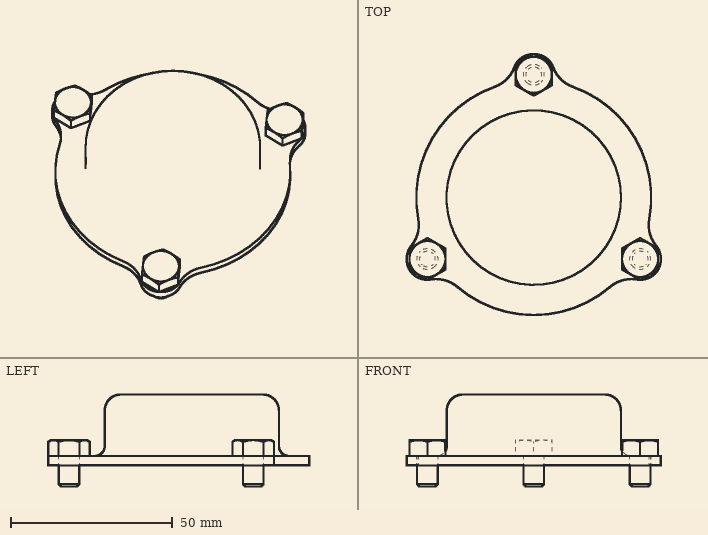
import cadquery as cq
import math

plate_thickness = 3.0
plate_radius = 36.4
ear_radius = 6.5
ear_blend_radius = 10.0
bolt_circle_radius = 38.0
bolt_angles = [90, 210, 330]

dome_radius = 27.0
dome_height = 19.0
dome_top_fillet = 5.0
dome_foot_fillet = 3.0

shank_diameter = 6.5
shank_length_below_plate = 6.55
shank_tip_chamfer = 0.8
head_across_flats = 11.2
head_height = 4.85
head_chamfer_angle = 30


def polar(radius, angle, center=(0, 0)):
    """Point at a radius and an angle in degrees from a center."""
    return (
        center[0] + radius * math.cos(math.radians(angle)),
        center[1] + radius * math.sin(math.radians(angle)),
    )


def point_toward(start, target, distance):
    """Point at a distance from start, on the line to target."""
    ratio = distance / math.dist(start, target)
    return tuple(s + ratio * (t - s) for s, t in zip(start, target))


def make_plate():
    """Round plate with three ears, each blended tangentially into the rim."""
    blend_distance = plate_radius + ear_blend_radius
    ear_to_blend = ear_radius + ear_blend_radius
    blend_offset = math.degrees(math.acos(
        (blend_distance**2 + bolt_circle_radius**2 - ear_to_blend**2)
        / (2 * blend_distance * bolt_circle_radius)
    ))
    ear_spacing = 360 / len(bolt_angles)

    outline = cq.Workplane("XY").moveTo(*polar(plate_radius, bolt_angles[0] - blend_offset))
    for angle in bolt_angles:
        ear = polar(bolt_circle_radius, angle)
        blend_in = polar(blend_distance, angle - blend_offset)
        blend_out = polar(blend_distance, angle + blend_offset)
        ear_start = point_toward(ear, blend_in, ear_radius)
        ear_tip = polar(bolt_circle_radius + ear_radius, angle)
        ear_end = point_toward(ear, blend_out, ear_radius)
        rim_in = polar(plate_radius, angle - blend_offset)
        rim_out = polar(plate_radius, angle + blend_offset)
        rim_middle = polar(plate_radius, angle + ear_spacing / 2)
        next_rim_in = polar(plate_radius, angle + ear_spacing - blend_offset)

        chord_in = tuple((a + b) / 2 for a, b in zip(rim_in, ear_start))
        chord_out = tuple((a + b) / 2 for a, b in zip(ear_end, rim_out))
        middle_in = point_toward(blend_in, chord_in, ear_blend_radius)
        middle_out = point_toward(blend_out, chord_out, ear_blend_radius)

        outline = (
            outline.threePointArc(middle_in, ear_start)
            .threePointArc(ear_tip, ear_end)
            .threePointArc(middle_out, rim_out)
            .threePointArc(rim_middle, next_rim_in)
        )
    return outline.close().extrude(plate_thickness)


def make_dome():
    """Solid of revolution with a rounded top edge and a flared foot."""
    top_z = plate_thickness + dome_height
    diagonal = math.sqrt(0.5)
    foot_middle = (
        dome_radius + dome_foot_fillet * (1 - diagonal),
        plate_thickness + dome_foot_fillet * (1 - diagonal),
    )
    top_middle = (
        dome_radius - dome_top_fillet * (1 - diagonal),
        top_z - dome_top_fillet * (1 - diagonal),
    )
    return (
        cq.Workplane("XZ")
        .moveTo(0, plate_thickness)
        .lineTo(dome_radius + dome_foot_fillet, plate_thickness)
        .threePointArc(foot_middle, (dome_radius, plate_thickness + dome_foot_fillet))
        .lineTo(dome_radius, top_z - dome_top_fillet)
        .threePointArc(top_middle, (dome_radius - dome_top_fillet, top_z))
        .lineTo(0, top_z)
        .close()
        .revolve(360, (0, 0, 0), (0, 1, 0))
    )


def make_cover():
    """Plate and dome in one piece, with a through hole in each ear."""
    bolt_holes = (
        cq.Workplane("XY")
        .pushPoints([polar(bolt_circle_radius, angle) for angle in bolt_angles])
        .circle(shank_diameter / 2)
        .extrude(plate_thickness)
    )
    return make_plate().union(make_dome()).cut(bolt_holes)


def make_bolt(angle):
    """Hex bolt seated on one ear, with head corners pointing along Y."""
    across_corners = head_across_flats / math.cos(math.pi / 6)
    corner_drop = (across_corners - head_across_flats) / 2 * math.tan(math.radians(head_chamfer_angle))
    head = (
        cq.Workplane("XY")
        .polygon(6, across_corners)
        .extrude(head_height)
        .rotate((0, 0, 0), (0, 0, 1), 90)
    )
    corner_trim = (
        cq.Workplane("XZ")
        .lineTo(across_corners / 2, 0)
        .lineTo(across_corners / 2, head_height - corner_drop)
        .lineTo(head_across_flats / 2, head_height)
        .lineTo(0, head_height)
        .close()
        .revolve(360, (0, 0, 0), (0, 1, 0))
    )
    shank = (
        cq.Workplane("XY")
        .circle(shank_diameter / 2)
        .extrude(-(plate_thickness + shank_length_below_plate))
        .faces("<Z")
        .chamfer(shank_tip_chamfer)
    )
    x, y = polar(bolt_circle_radius, angle)
    return head.intersect(corner_trim).union(shank).translate((x, y, plate_thickness))


cover = make_cover()
bolts = [make_bolt(angle) for angle in bolt_angles]

result = cq.Compound.makeCompound([cover.solids().val(), *[bolt.solids().val() for bolt in bolts]])